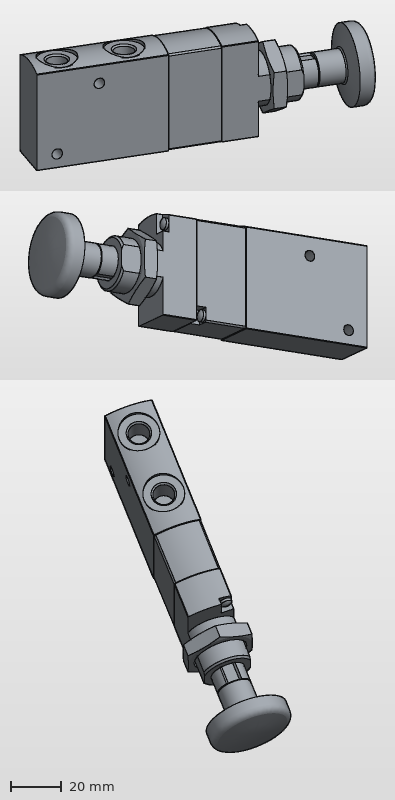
import cadquery as cq
import math


valve_back = 55.0
adapter_back = 77.3
cap_back = 92.8
seam = 0.3
bushing_end = 111.7
stem_start = 119.1
knob_rim_start = 132.8
knob_end = 141.1

valve_width = 20.0
valve_bottom = -21.2
valve_top = 22.7
housing_width = 19.3
housing_bottom = -20.9
housing_top = 22.3
crown_shoulder = 20.7
adapter_front_width = 19.6
adapter_front_top = 22.5
valve_edge = 0.3
adapter_edge = 0.7
cap_edge = 0.3

port_positions = (11.9, 39.9)
port_face_diameter = 16.5
port_face_depth = 1.5
port_diameter = 8.6
port_mouth_diameter = 10.0
port_depth = 11.3
mount_hole_diameter = 4.4
mount_holes = ((26.1, 12.8), (8.5, -15.1))

bushing_diameter = 22.2
bushing_chamfer = 0.8
nut_start = 97.5
nut_thickness = 6.2
nut_across_flats = 27.0
nut_bevel_diameter = 26.5
nut_bevel_height = 0.5

shaft_diameter = 14.0
slot_mouth_width = 6.3
slot_floor_width = 4.7
slot_floor_height = 5.4
knob_diameter = 33.9
knob_dome_rise = 1.5
knob_dome_fillet = 2.7
knob_root_radius = 7.6
knob_root_start = 130.4
knob_root_end = 131.0
stem_chamfer = 0.4

screw_head_diameter = 5.0
screw_head_height = 2.1
screw_dome = 1.0
screw_diameter = 2.4
screw_length = 17.0
screw_offset = -7.0
pocket_width = 5.2
cap_screw_height = 17.4
cap_pocket_edge = 13.5
cap_pocket_depth = 2.7
adapter_screw_height = -17.9
adapter_pocket_edge = -15.0
adapter_pocket_depth = 4.1


def plane_at(y):
    """Plane across the axis at y: local x is -X, local y is Z, and the normal points to the back."""
    return cq.Plane(origin=(0, y, 0), xDir=(-1, 0, 0), normal=(0, 1, 0))


def cylinder(diameter, start, end):
    """Cylinder on the knob axis, from start to end."""
    base = cq.Vector(0, start, 0)
    return cq.Workplane(cq.Solid.makeCylinder(diameter / 2, end - start, base, cq.Vector(0, 1, 0)))


def crowned_outline(work, width, bottom, top, edge):
    """Block outline with a crowned top and small bevels along its four long edges."""
    half = width / 2
    return (
        work.moveTo(-half + edge, bottom)
        .lineTo(half - edge, bottom)
        .lineTo(half, bottom + edge)
        .lineTo(half, crown_shoulder - edge)
        .lineTo(half - edge, crown_shoulder)
        .threePointArc((0, top), (-half + edge, crown_shoulder))
        .lineTo(-half, crown_shoulder - edge)
        .lineTo(-half, bottom + edge)
        .close()
    )


def crowned_block(start, end, width, bottom, top, edge):
    """Straight block with the crowned outline."""
    return crowned_outline(cq.Workplane(plane_at(start)), width, bottom, top, edge).extrude(end - start)


def make_screw(seat, z):
    """Button-head screw pointing to the front, its head resting on the plane y = seat."""
    head_radius = screw_head_diameter / 2
    shank_radius = screw_diameter / 2
    head_top = seat + screw_head_height
    edge_height = head_top - screw_dome
    dome_radius = (head_radius**2 + screw_dome**2) / (2 * screw_dome)
    mid_radius = head_radius / 2
    mid_height = head_top - dome_radius + math.sqrt(dome_radius**2 - mid_radius**2)
    return (
        cq.Workplane("XY")
        .moveTo(0, seat - screw_length)
        .lineTo(shank_radius, seat - screw_length)
        .lineTo(shank_radius, seat)
        .lineTo(head_radius, seat)
        .lineTo(head_radius, edge_height)
        .threePointArc((mid_radius, mid_height), (0, head_top))
        .close()
        .revolve(360, (0, 0, 0), (0, 1, 0))
        .translate((screw_offset, 0, z))
    )


def make_pocket(back, depth, inner_z, outer_z):
    """Corner pocket on the -X side, from height inner_z out past the block, open to the back."""
    inner_x = pocket_width - housing_width / 2
    outer_x = -valve_width
    return (
        cq.Workplane(plane_at(back - depth))
        .moveTo(-inner_x, inner_z)
        .lineTo(-outer_x, inner_z)
        .lineTo(-outer_x, outer_z)
        .lineTo(-inner_x, outer_z)
        .close()
        .extrude(depth)
    )


def make_valve_block():
    """Front block with two ports on the crown and two mounting holes across it."""
    block = crowned_block(0, valve_back, valve_width, valve_bottom, valve_top, valve_edge)
    floor = valve_top - port_face_depth
    mouth_depth = (port_mouth_diameter - port_diameter) / 2
    for y in port_positions:
        face = cq.Workplane("XY", origin=(0, y, floor))
        block = block.cut(face.circle(port_face_diameter / 2).extrude(2 * port_face_depth))
        block = block.cut(face.circle(port_diameter / 2).extrude(-port_depth))
        mouth = cq.Solid.makeCone(
            port_diameter / 2, port_mouth_diameter / 2, mouth_depth, cq.Vector(0, y, floor - mouth_depth)
        )
        block = block.cut(cq.Workplane(mouth))
    for y, z in mount_holes:
        hole = cq.Workplane("YZ", origin=(0, y, z)).circle(mount_hole_diameter / 2)
        block = block.cut(hole.extrude(valve_width, both=True))
    return block


def make_adapter():
    """Middle block, growing slightly from back to front, with a pocket at the bottom."""
    front_work = cq.Workplane(plane_at(valve_back + seam))
    back_work = cq.Workplane(plane_at(adapter_back))
    front = crowned_outline(front_work, adapter_front_width, housing_bottom, adapter_front_top, adapter_edge)
    back = crowned_outline(back_work, housing_width, housing_bottom, housing_top, adapter_edge)
    block = cq.Workplane(cq.Solid.makeLoft([front.val(), back.val()], True))
    pocket = make_pocket(adapter_back, adapter_pocket_depth, adapter_pocket_edge, 2 * valve_bottom)
    return block.cut(pocket)


def make_cap():
    """Rear block with a pocket at the top, and the flat-sided bushing that carries the nut."""
    block = crowned_block(adapter_back + seam, cap_back, housing_width, housing_bottom, housing_top, cap_edge)
    block = block.cut(make_pocket(cap_back, cap_pocket_depth, cap_pocket_edge, 2 * valve_top))
    bushing = cylinder(bushing_diameter, cap_back, bushing_end).faces(">Y").chamfer(bushing_chamfer)
    flats = cq.Workplane("XY").box(housing_width, 2 * knob_end, bushing_diameter)
    bore = cylinder(shaft_diameter, cap_back, bushing_end)
    return block.union(bushing.intersect(flats)).cut(bore)


def make_nut(bushing):
    """Hexagon nut with a corner at the top, bevelled at both ends and fitted over the bushing."""
    corner_diameter = nut_across_flats / math.cos(math.pi / 6)
    hexagon = (
        cq.Workplane(plane_at(nut_start))
        .polygon(6, corner_diameter)
        .extrude(nut_thickness)
        .rotate((0, 0, 0), (0, 1, 0), 90)
    )
    bevel_width = (corner_diameter - nut_bevel_diameter) / 2
    disc = cylinder(corner_diameter, nut_start, nut_start + nut_thickness)
    for end in ("<Y", ">Y"):
        disc = disc.faces(end).chamfer(nut_bevel_height, bevel_width)
    return hexagon.intersect(disc).cut(bushing)


def make_shaft():
    """Shaft between the bushing and the knob, with a flared slot along its top and its bottom."""
    shaft = cylinder(shaft_diameter, cap_back, stem_start)
    radius = shaft_diameter / 2
    half_floor = slot_floor_width / 2
    half_mouth = slot_mouth_width / 2
    mouth_height = math.sqrt(radius**2 - half_mouth**2)
    slot = (
        cq.Workplane(plane_at(cap_back))
        .moveTo(-half_floor, slot_floor_height)
        .lineTo(half_floor, slot_floor_height)
        .lineTo(half_mouth, mouth_height)
        .lineTo(half_mouth, shaft_diameter)
        .lineTo(-half_mouth, shaft_diameter)
        .lineTo(-half_mouth, mouth_height)
        .close()
        .extrude(stem_start - cap_back)
    )
    return shaft.cut(slot).cut(slot.mirror("XY"))


def make_knob():
    """Turned knob: a stem, a shallow cone underneath, a straight rim and a domed end."""
    stem_radius = shaft_diameter / 2
    knob_radius = knob_diameter / 2
    dome_radius = (knob_radius**2 + knob_dome_rise**2) / (2 * knob_dome_rise)
    mid_radius = knob_radius / 2
    mid_end = knob_end - dome_radius + math.sqrt(dome_radius**2 - mid_radius**2)
    return (
        cq.Workplane("XY")
        .moveTo(0, stem_start)
        .lineTo(stem_radius - stem_chamfer, stem_start)
        .lineTo(stem_radius, stem_start + stem_chamfer)
        .lineTo(stem_radius, knob_root_start)
        .lineTo(knob_root_radius, knob_root_end)
        .lineTo(knob_radius, knob_rim_start)
        .lineTo(knob_radius, knob_end - knob_dome_rise)
        .threePointArc((mid_radius, mid_end), (0, knob_end))
        .close()
        .revolve(360, (0, 0, 0), (0, 1, 0))
        .faces(">Y")
        .edges()
        .fillet(knob_dome_fillet)
    )


cap_screw = make_screw(cap_back - cap_pocket_depth, cap_screw_height)
adapter_screw = make_screw(adapter_back - adapter_pocket_depth, adapter_screw_height)
valve_block = make_valve_block().cut(adapter_screw)
adapter = make_adapter().cut(adapter_screw).cut(cap_screw)
cap = make_cap().cut(cap_screw)
nut = make_nut(cylinder(bushing_diameter, cap_back, bushing_end))
shaft = make_shaft()
knob = make_knob()

bodies = [valve_block, adapter, cap, nut, shaft, knob, cap_screw, adapter_screw]
result = cq.Compound.makeCompound([body.val() for body in bodies])